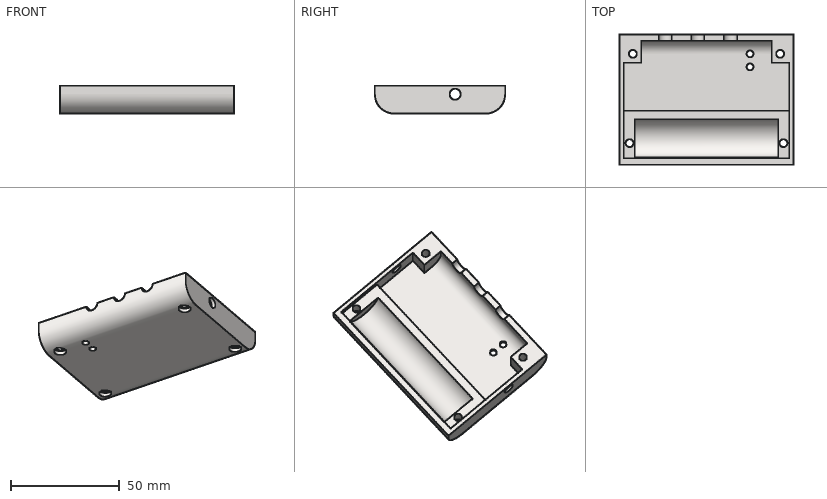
import cadquery as cq

length = 80.0
width = 60.0
straight_height = 4.0
outer_radius = 9.0
height = straight_height + outer_radius

end_wall = 3.0
side_wall = 2.0
floor_thickness = 2.0
inner_radius = outer_radius - end_wall
inner_length = length - 2 * side_wall

post_length = 8.0
post_front = 46.9
rear_pocket_start = side_wall + post_length
rear_pocket_length = length - 2 * rear_pocket_start

cradle_rear = 25.0
cradle_drop = 3.0
cradle_top = height - cradle_drop
trough_radius = 9.0
trough_floor = 3.0
trough_length = 65.8
trough_center_y = 12.3
trough_center_z = trough_floor + trough_radius

screw_diameter = 3.5
head_diameter = 5.5
head_depth = 2.0
rear_screw_x = 6.2
rear_screw_y = width - outer_radius
front_screw_x = 4.6
front_screw_y = 10.0
small_diameter = 3.0
small_hole_x = 60.0
small_hole_pitch = 6.0
small_hole_y = width - outer_radius

cross_diameter = 5.0
cross_y = 37.0
cross_z = outer_radius

notch_diameter = 6.0
notch_pitch = 15.0
middle_notch_x = 36.0


def box(x_size, y_size, z_size, x, y, z):
    """Box with its lowest corner at the given point."""
    return cq.Workplane("XY").box(x_size, y_size, z_size, centered=False).translate((x, y, z))


def cylinder_along_x(diameter, x_size, x, y, z):
    """Cylinder along X that starts at the given point."""
    return cq.Workplane("YZ", origin=(x, y, z)).circle(diameter / 2).extrude(x_size)


def outer_body():
    """Solid block with rounded lower front and rear edges."""
    block = box(length, width, height, 0, 0, 0)
    return block.edges("|X and <Z").fillet(outer_radius)


def main_cavity():
    """Full-length cavity in front of the posts, plus the rear pocket between them."""
    cavity_depth = height - floor_thickness
    center = box(inner_length, post_front - cradle_rear, cavity_depth, side_wall, cradle_rear, floor_thickness)
    rear = box(
        rear_pocket_length, width - end_wall - cradle_rear, cavity_depth,
        rear_pocket_start, cradle_rear, floor_thickness,
    )
    rear = rear.edges("|X and >Y and <Z").fillet(inner_radius)
    return center.union(rear)


def cradle_recess():
    """Lowered cradle top and the round trough for the battery."""
    recess = box(inner_length, cradle_rear - end_wall, cradle_drop, side_wall, end_wall, cradle_top)
    trough = cylinder_along_x(
        2 * trough_radius, trough_length, (length - trough_length) / 2, trough_center_y, trough_center_z
    )
    below_top = box(length, width, cradle_top, 0, 0, 0)
    return recess.union(trough.intersect(below_top))


def vertical_holes():
    """Four screw holes with head recesses underneath, and a pair of small holes through the floor."""
    screw_points = [
        (x, y)
        for inset, y in ((rear_screw_x, rear_screw_y), (front_screw_x, front_screw_y))
        for x in (inset, length - inset)
    ]
    small_points = [(small_hole_x, small_hole_y - i * small_hole_pitch) for i in range(2)]
    screws = cq.Workplane("XY").pushPoints(screw_points).circle(screw_diameter / 2).extrude(height)
    heads = cq.Workplane("XY").pushPoints(screw_points).circle(head_diameter / 2).extrude(head_depth)
    small = cq.Workplane("XY").pushPoints(small_points).circle(small_diameter / 2).extrude(height)
    return screws.union(heads).union(small)


def cable_notch(x):
    """Half-round notch centered on the top edge of the rear wall."""
    return cq.Workplane("XZ", origin=(x, width, height)).circle(notch_diameter / 2).extrude(end_wall)


result = outer_body().cut(main_cavity()).cut(cradle_recess()).cut(vertical_holes())
result = result.cut(cylinder_along_x(cross_diameter, length, 0, cross_y, cross_z))
for step in (-1, 0, 1):
    result = result.cut(cable_notch(middle_notch_x + step * notch_pitch))